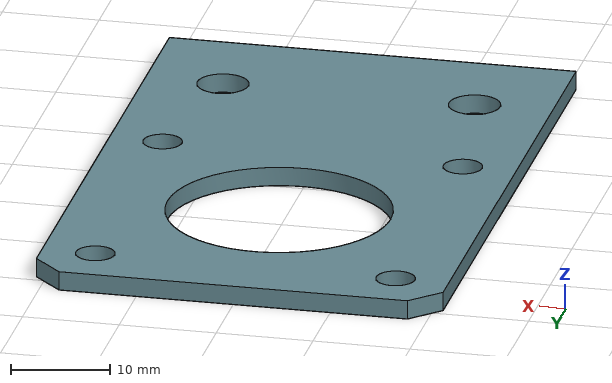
import cadquery as cq

width = 42.0
length = 64.3
thickness = 2.0
corner_chamfer = 3.0

motor_center_y = length - 21.15
motor_opening_diameter = 23.0
screw_spacing = 31.0
screw_diameter = 4.0

mounting_hole_y = 11.05
mounting_spacing = 26.0
mounting_diameter = 5.3

plate = (
    cq.Workplane("XY")
    .rect(width, length)
    .extrude(thickness)
    .translate((0, length / 2, 0))
    .edges("|Z and >Y")
    .chamfer(corner_chamfer)
)


def drill(body, diameter, points):
    """Cut round holes through the plate at the given XY points."""
    holes = cq.Workplane("XY").pushPoints(points).circle(diameter / 2).extrude(thickness)
    return body.cut(holes)


screw_points = [
    (x_side * screw_spacing / 2, motor_center_y + y_side * screw_spacing / 2)
    for x_side in (-1, 1)
    for y_side in (-1, 1)
]
mounting_points = [(side * mounting_spacing / 2, mounting_hole_y) for side in (-1, 1)]

result = drill(plate, motor_opening_diameter, [(0, motor_center_y)])
result = drill(result, screw_diameter, screw_points)
result = drill(result, mounting_diameter, mounting_points)